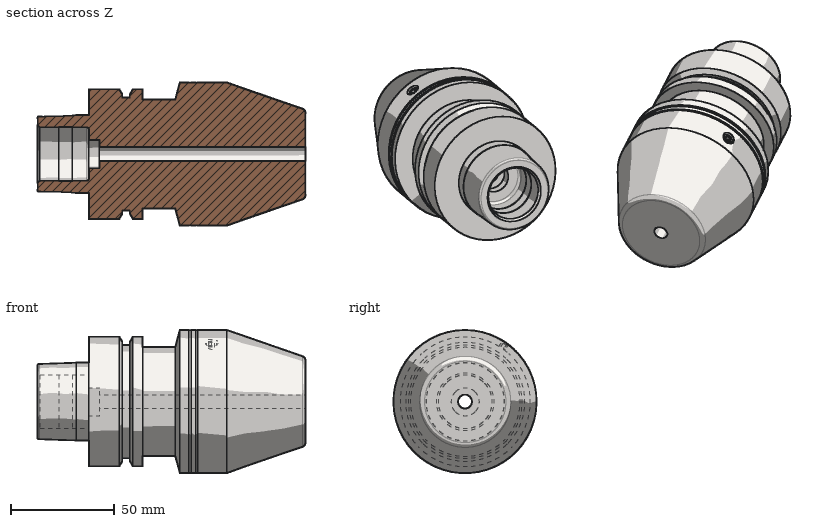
import math

import cadquery as cq

shank_length = 25.0
taper_end = -6.1
flange_width = 26.0
groove_center = 18.0
groove_mouth_width = 6.6
groove_width = 3.5
body_start = 44.0
nose_start = 66.8
tip_x = 105.0

shank_tip_diameter = 36.5
taper_base_diameter = 37.8
shank_diameter = 38.0
flange_diameter = 63.0
groove_floor_diameter = 55.0
groove_wall_diameter = 57.7
neck_diameter = 53.0
body_diameter = 69.5
tip_edge_diameter = 43.0

shank_tip_radius = 0.9
back_bevel_angle = 15.0
tip_radius = 2.5

ring_grooves = [(48.4, 1.1), (51.8, 0.8)]
ring_groove_depth = 0.1

mouth_diameter = 27.9
mouth_chamfer_length = 1.2
bore_diameter = 25.9
bore_depth = 25.0
relief_diameter = 26.1
relief_start = 10.4
relief_end = 17.0
bore_floor_radius = 1.25
counterbore_diameter = 13.6
counterbore_depth = 30.0
through_diameter = 6.6

screw_x = 59.3
screw_lean_angle = 34.3
countersink_mouth_diameter = 6.3
countersink_floor_diameter = 5.0
countersink_depth = 0.9
socket_across_corners = 3.4
socket_depth = 2.0

cut_clearance = 1.0


def revolve_about_x(sketch):
    """Turn a closed half-profile in the XZ plane a full circle about the X axis."""
    return sketch.close().revolve(360, (0, 0, 0), (1, 0, 0))


def make_outside():
    """Shank, grooved flange, neck, body and conical nose as one turned solid."""
    bevel_start = body_start - (body_diameter - neck_diameter) / 2 * math.tan(math.radians(back_bevel_angle))
    mouth_half = groove_mouth_width / 2
    wall_half = groove_width / 2
    sketch = (
        cq.Workplane("XZ")
        .moveTo(-shank_length, 0)
        .lineTo(-shank_length, shank_tip_diameter / 2)
        .lineTo(taper_end, taper_base_diameter / 2)
        .lineTo(taper_end, shank_diameter / 2)
        .lineTo(0, shank_diameter / 2)
        .lineTo(0, flange_diameter / 2)
        .lineTo(groove_center - mouth_half, flange_diameter / 2)
        .lineTo(groove_center - wall_half, groove_wall_diameter / 2)
        .lineTo(groove_center - wall_half, groove_floor_diameter / 2)
        .lineTo(groove_center + wall_half, groove_floor_diameter / 2)
        .lineTo(groove_center + wall_half, groove_wall_diameter / 2)
        .lineTo(groove_center + mouth_half, flange_diameter / 2)
        .lineTo(flange_width, flange_diameter / 2)
        .lineTo(flange_width, neck_diameter / 2)
        .lineTo(bevel_start, neck_diameter / 2)
        .lineTo(body_start, body_diameter / 2)
        .lineTo(nose_start, body_diameter / 2)
        .lineTo(tip_x, tip_edge_diameter / 2)
        .lineTo(tip_x, 0)
    )
    solid = revolve_about_x(sketch)
    solid = solid.faces("<X").edges().fillet(shank_tip_radius)
    return solid.faces(">X").edges().fillet(tip_radius)


def make_bore():
    """Chamfered bore with a shallow relief band, stepping down from the shank end, ending in a through hole."""
    shank_tip_x = -shank_length
    chamfer_end = shank_tip_x + mouth_chamfer_length
    bore_end = shank_tip_x + bore_depth
    counterbore_end = shank_tip_x + counterbore_depth
    bore_radius = bore_diameter / 2
    fillet_offset = bore_floor_radius * math.sqrt(0.5)
    fillet_middle = (
        bore_end - bore_floor_radius + fillet_offset,
        bore_radius - bore_floor_radius + fillet_offset,
    )
    sketch = (
        cq.Workplane("XZ")
        .moveTo(shank_tip_x, 0)
        .lineTo(shank_tip_x, mouth_diameter / 2)
        .lineTo(chamfer_end, bore_radius)
        .lineTo(shank_tip_x + relief_start, bore_radius)
        .lineTo(shank_tip_x + relief_start, relief_diameter / 2)
        .lineTo(shank_tip_x + relief_end, relief_diameter / 2)
        .lineTo(shank_tip_x + relief_end, bore_radius)
        .lineTo(bore_end - bore_floor_radius, bore_radius)
        .threePointArc(fillet_middle, (bore_end, bore_radius - bore_floor_radius))
        .lineTo(bore_end, counterbore_diameter / 2)
        .lineTo(counterbore_end, counterbore_diameter / 2)
        .lineTo(counterbore_end, through_diameter / 2)
        .lineTo(tip_x, through_diameter / 2)
        .lineTo(tip_x, 0)
    )
    return revolve_about_x(sketch)


def make_ring_groove(start, width):
    """Shallow ring to cut round the body."""
    return (
        cq.Workplane("YZ", origin=(start, 0, 0))
        .circle(body_diameter / 2 + cut_clearance)
        .circle(body_diameter / 2 - ring_groove_depth)
        .extrude(width)
    )


def make_screw_recess():
    """Countersink with a hex socket in its floor, leaned about the X axis."""
    body_radius = body_diameter / 2
    floor_height = body_radius - countersink_depth
    flare = (countersink_mouth_diameter - countersink_floor_diameter) / 2 / countersink_depth
    outer_radius = countersink_mouth_diameter / 2 + flare * cut_clearance
    countersink = (
        cq.Workplane("XZ", origin=(screw_x, 0, 0))
        .moveTo(0, floor_height)
        .lineTo(countersink_floor_diameter / 2, floor_height)
        .lineTo(outer_radius, body_radius + cut_clearance)
        .lineTo(0, body_radius + cut_clearance)
        .close()
        .revolve(360, (0, 0, 0), (0, 1, 0))
    )
    socket = (
        cq.Workplane("XY", origin=(screw_x, 0, floor_height))
        .transformed(rotate=(0, 0, 90))
        .polygon(6, socket_across_corners)
        .extrude(-socket_depth)
    )
    return countersink.union(socket).rotate((0, 0, 0), (1, 0, 0), -screw_lean_angle)


result = make_outside().cut(make_bore())
for ring_start, ring_width in ring_grooves:
    result = result.cut(make_ring_groove(ring_start, ring_width))
result = result.cut(make_screw_recess())